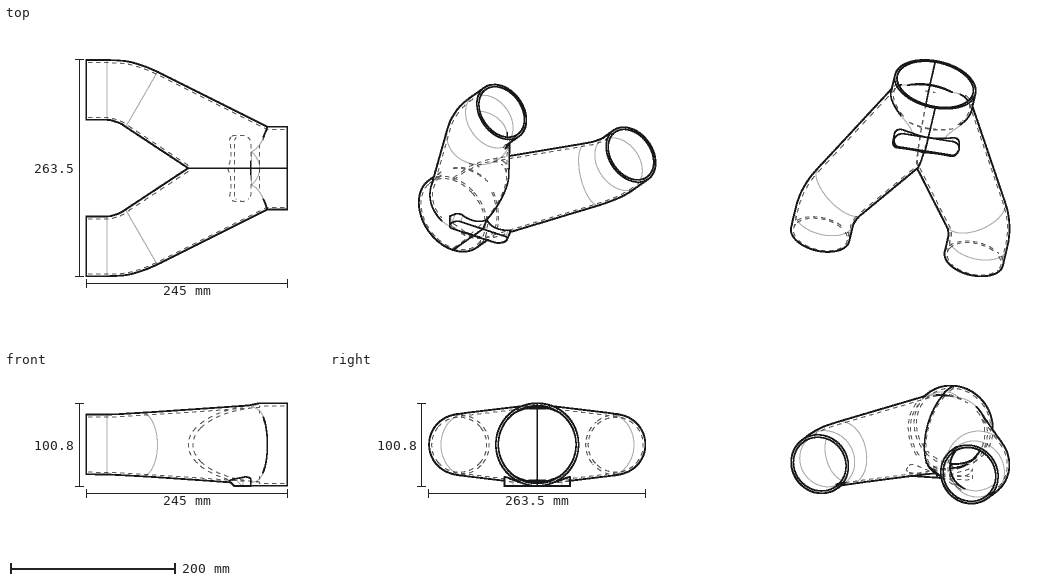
import cadquery as cq
import math


TOTAL_LENGTH = 245.0
COLLAR_LENGTH = 25.0
OUTLET_DIAMETER = 73.0
OUTLET_BORE = 67.0
WALL = (OUTLET_DIAMETER - OUTLET_BORE) / 2

OUTLET_Y = 95.2
ARM_ANGLE = math.radians(30)
BEND_RADIUS = 84.3
BEND_END_RADIUS = 38.7
CONE_END_RADIUS = 48.8
BEND_STEPS = 6

INLET_RADIUS = 50.3
INLET_START = 200.3
INLET_BORE_START = 211.0
RAMP_LENGTH = 10.5
RAMP_DROP = 2.0
RAMP_CROWN_RADIUS = 92.3

FOOT_BOTTOM = -50.5
FOOT_TOP = -34.3
FOOT_WIDTH = 20.0
FOOT_LENGTH = 80.0
FOOT_FRONT_ROUND = 10.0
FOOT_REAR_ROUND = 6.9


def ring(x, y, turn, radius):
    """Circle around the arm axis at (x, y), facing +X turned by turn toward the middle plane."""
    heading = (math.cos(turn), -math.sin(turn), 0)
    plane = cq.Plane(origin=(x, y, 0), xDir=(0, 0, -1), normal=heading)
    return cq.Workplane(plane).circle(radius).val()


def arm(inset):
    """Solid arm of the +Y half, with every radius reduced by inset."""
    start_radius = OUTLET_DIAMETER / 2 - inset
    bend_end = BEND_END_RADIUS - inset
    cone_end = CONE_END_RADIUS - inset

    collar = cq.Solid.makeCylinder(
        start_radius, COLLAR_LENGTH, cq.Vector(0, OUTLET_Y, 0), cq.Vector(1, 0, 0)
    )

    sections = []
    for step in range(BEND_STEPS + 1):
        share = step / BEND_STEPS
        turn = share * ARM_ANGLE
        x = COLLAR_LENGTH + BEND_RADIUS * math.sin(turn)
        y = OUTLET_Y - BEND_RADIUS * (1 - math.cos(turn))
        sections.append(ring(x, y, turn, start_radius + share * (bend_end - start_radius)))
    bend = cq.Solid.makeLoft(sections)

    run = cq.Solid.makeCone(
        bend_end,
        cone_end,
        y / math.sin(ARM_ANGLE),
        cq.Vector(x, y, 0),
        cq.Vector(math.cos(ARM_ANGLE), -math.sin(ARM_ANGLE), 0),
    )
    return cq.Workplane(collar).union(cq.Workplane(bend)).union(cq.Workplane(run))


def inlet_collar():
    """Solid inlet cylinder whose upper rear edge is trimmed by a shallow, crowned ramp."""
    collar = cq.Workplane("YZ", origin=(INLET_START, 0, 0)).circle(INLET_RADIUS).extrude(
        TOTAL_LENGTH - INLET_START
    )
    crown_axis = cq.Vector(RAMP_LENGTH, 0, RAMP_DROP)
    upright_radius = RAMP_CROWN_RADIUS * crown_axis.Length / RAMP_LENGTH
    crown_center = cq.Vector(INLET_START, 0, INLET_RADIUS - RAMP_DROP - upright_radius)
    crown_start = crown_center - crown_axis
    crown = cq.Solid.makeCylinder(RAMP_CROWN_RADIUS, TOTAL_LENGTH, crown_start, crown_axis)
    return collar.intersect(cq.Workplane(crown))


def inlet_bore():
    return cq.Workplane("YZ", origin=(INLET_BORE_START, 0, 0)).circle(INLET_RADIUS - WALL).extrude(
        TOTAL_LENGTH - INLET_BORE_START
    )


def foot():
    """Flat foot whose rear face leans back at 45 degrees up to the duct."""
    front = INLET_START
    rear = front - FOOT_WIDTH
    rise = FOOT_TOP - FOOT_BOTTOM
    block = (
        cq.Workplane("XZ")
        .moveTo(front, FOOT_BOTTOM)
        .lineTo(front, FOOT_TOP)
        .lineTo(rear - rise, FOOT_TOP)
        .lineTo(rear, FOOT_BOTTOM)
        .close()
        .extrude(FOOT_LENGTH / 2, both=True)
    )
    leaning = cq.selectors.ParallelDirSelector(cq.Vector(-1, 0, 1))
    return block.edges("|Z").fillet(FOOT_FRONT_ROUND).edges(leaning).fillet(FOOT_REAR_ROUND)


def half_shell():
    """The half of the duct on the +Y side."""
    keep = cq.Workplane().box(
        2 * TOTAL_LENGTH, TOTAL_LENGTH, TOTAL_LENGTH, centered=(True, False, True)
    )
    outside = arm(0).union(inlet_collar()).union(foot())
    return outside.cut(arm(WALL)).cut(inlet_bore()).intersect(keep).solids()


first_half = half_shell()
halves = [first_half, first_half.mirror("XZ").solids()]

result = cq.Compound.makeCompound([half.val() for half in halves])